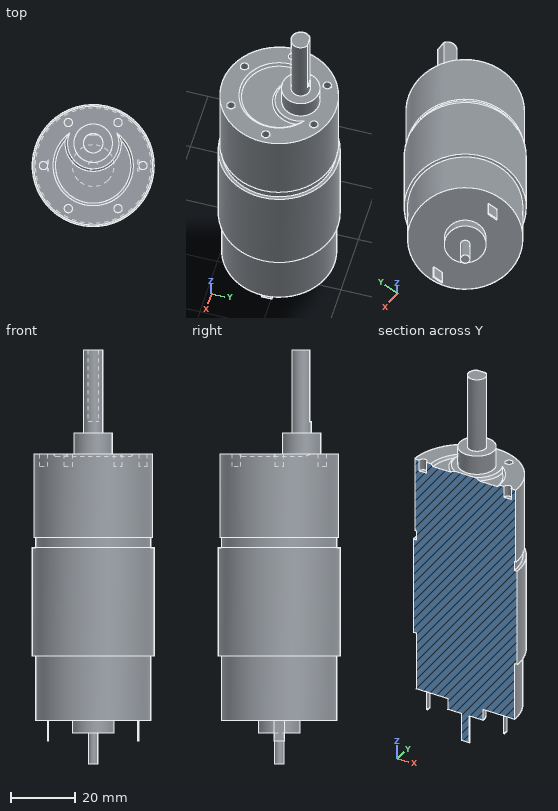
import cadquery as cq
import math

total_length = 129.0

rear_shaft_length = 9.7
rear_boss_height = 3.9
can_length = 20.1
sleeve_length = 33.8
neck_length = 3.1
gearbox_length = 26.0
front_boss_height = 6.6

rear_shaft_diameter = 3.0
rear_boss_diameter = 13.0
can_diameter = 36.0
sleeve_diameter = 38.0
neck_diameter = 36.0
gearbox_diameter = 37.0
front_boss_diameter = 12.0
output_shaft_diameter = 6.0

shaft_offset = 7.0
flat_distance = 2.6
flat_start = 3.5

recess_depth = 0.8
recess_diameter = 25.0
pad_diameter = 16.0
wall_run = 0.8

hole_count = 6
hole_diameter = 2.6
hole_depth = 3.9
hole_circle_radius = 15.5

terminal_spacing = 28.1
terminal_thickness = 0.4
terminal_width = 3.4
terminal_length = 6.3

rear_boss_bottom = rear_shaft_length
can_bottom = rear_boss_bottom + rear_boss_height
sleeve_bottom = can_bottom + can_length
neck_bottom = sleeve_bottom + sleeve_length
gearbox_bottom = neck_bottom + neck_length
gearbox_top = gearbox_bottom + gearbox_length
front_boss_top = gearbox_top + front_boss_height
output_shaft_length = total_length - front_boss_top


def cylinder(diameter, bottom, height, y=0):
    return cq.Workplane("XY", origin=(0, y, bottom)).circle(diameter / 2).extrude(height)


def make_housing():
    """Stepped round body on the motor axis."""
    housing = cylinder(can_diameter, can_bottom, can_length)
    housing = housing.union(cylinder(sleeve_diameter, sleeve_bottom, sleeve_length))
    housing = housing.union(cylinder(neck_diameter, neck_bottom, neck_length))
    return housing.union(cylinder(gearbox_diameter, gearbox_bottom, gearbox_length))


def make_recess():
    """Sloped-wall round recess, less the sloped pad around the output shaft."""
    taper = math.degrees(math.atan(wall_run / recess_depth))
    face = cq.Workplane("XY", origin=(0, 0, gearbox_top))
    recess = face.circle(recess_diameter / 2).extrude(-recess_depth, taper=taper)
    pad = face.center(0, shaft_offset).circle(pad_diameter / 2).extrude(-recess_depth, taper=-taper)
    return recess.cut(pad)


def make_mounting_holes():
    return (
        cq.Workplane("XY", origin=(0, 0, gearbox_top))
        .polarArray(hole_circle_radius, 0, 360, hole_count)
        .circle(hole_diameter / 2)
        .extrude(-hole_depth)
    )


def make_output_shaft():
    """Offset boss and shaft with a flat on the +Y side."""
    boss = cylinder(front_boss_diameter, gearbox_top, front_boss_height, shaft_offset)
    shaft = cylinder(output_shaft_diameter, front_boss_top, output_shaft_length, shaft_offset)
    flat_origin = (0, shaft_offset + flat_distance, front_boss_top + flat_start)
    flat_cutter = cq.Workplane("XY", origin=flat_origin).box(
        output_shaft_diameter, output_shaft_diameter, output_shaft_length, centered=(True, False, False)
    )
    return boss.union(shaft.cut(flat_cutter))


def make_rear_end():
    """Rear bearing boss, rear shaft and the two flat solder terminals."""
    boss = cylinder(rear_boss_diameter, rear_boss_bottom, rear_boss_height)
    rear_end = boss.union(cylinder(rear_shaft_diameter, 0, rear_shaft_length))
    terminals = (
        cq.Workplane("XY", origin=(0, 0, can_bottom))
        .pushPoints([(-terminal_spacing / 2, 0), (terminal_spacing / 2, 0)])
        .rect(terminal_thickness, terminal_width)
        .extrude(-terminal_length)
    )
    return rear_end.union(terminals)


result = make_housing().cut(make_recess()).cut(make_mounting_holes())
result = result.union(make_output_shaft()).union(make_rear_end())